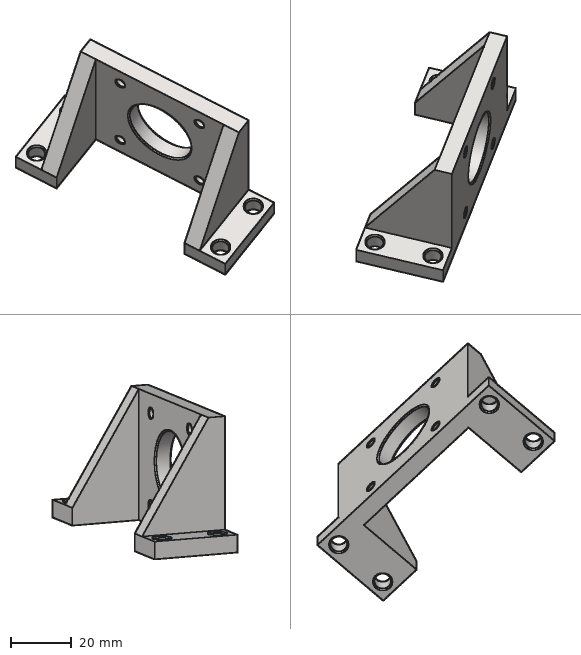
import cadquery as cq

width = 82
depth = 30.0
height = 44.0
thickness = 6.0

foot_width = 10.0
foot_hole_diameter = 5.5
foot_hole_chamfer = 0.5
foot_hole_inset = foot_width / 2

bore_diameter = 24.0
bore_chamfer = 0.5
screw_hole_diameter = 3.3
screw_hole_chamfer = 0.3
screw_hole_spacing = 31.0

body_width = width - 2 * foot_width
front_y = -depth / 2
back_y = depth / 2
plate_front_y = back_y - thickness
bore_center_z = height / 2


def chamfered_hole(point, direction, diameter, chamfer):
    """Through-hole cutter starting at point, with a 45 degree chamfer at both ends."""
    radius = diameter / 2
    profile = [
        (0, 0),
        (radius + chamfer, 0),
        (radius, chamfer),
        (radius, thickness - chamfer),
        (radius + chamfer, thickness),
        (0, thickness),
    ]
    x_direction = (1, 0, 0)
    normal = cq.Vector(*x_direction).cross(cq.Vector(*direction))
    plane = cq.Plane(origin=point, xDir=x_direction, normal=normal.toTuple())
    return cq.Workplane(plane).polyline(profile).close().revolve(360, (0, 0), (0, 1))


def make_back_plate():
    return cq.Workplane("XY").box(
        body_width, thickness, height, centered=(True, False, False)
    ).translate((0, plate_front_y, 0))


def make_side_wall(left_x):
    """Wall with a slope from the top of the back plate to the top of the foot."""
    outline = [
        (front_y, 0),
        (back_y, 0),
        (back_y, height),
        (plate_front_y, height),
        (front_y, thickness),
    ]
    return (
        cq.Workplane("YZ", origin=(left_x, 0, 0))
        .polyline(outline)
        .close()
        .extrude(thickness)
    )


def make_foot(left_x):
    return cq.Workplane("XY").box(foot_width, depth, thickness, centered=False).translate(
        (left_x, front_y, 0)
    )


result = make_back_plate()
for wall_x in (-body_width / 2, body_width / 2 - thickness):
    result = result.union(make_side_wall(wall_x))
for foot_x in (-width / 2, body_width / 2):
    result = result.union(make_foot(foot_x))

backward = (0, 1, 0)
result = result.cut(
    chamfered_hole((0, plate_front_y, bore_center_z), backward, bore_diameter, bore_chamfer)
)
for x_side in (-1, 1):
    for z_side in (-1, 1):
        x = x_side * screw_hole_spacing / 2
        z = bore_center_z + z_side * screw_hole_spacing / 2
        result = result.cut(
            chamfered_hole((x, plate_front_y, z), backward, screw_hole_diameter, screw_hole_chamfer)
        )

downward = (0, 0, -1)
for x_side in (-1, 1):
    for y_side in (-1, 1):
        x = x_side * (width / 2 - foot_hole_inset)
        y = y_side * (depth / 2 - foot_hole_inset)
        result = result.cut(
            chamfered_hole((x, y, thickness), downward, foot_hole_diameter, foot_hole_chamfer)
        )